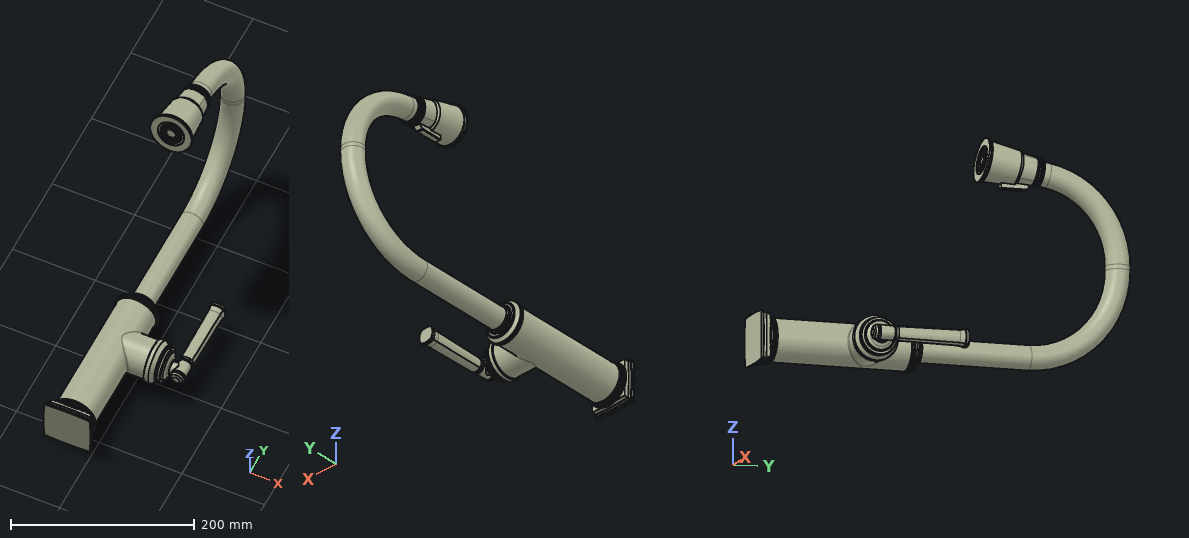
import cadquery as cq
import math


foot_half = 28.4
foot_corner = 27.3
foot_plate = 3.5
foot_chamfer = 1.4
plinth_half = 26.2
plinth_corner = 25.2
plinth_step = 7.0
plinth_inset = 0.6
plinth_top = 12.0
plinth_taper = 6
body_radius = 24.4
body_top = 175.0

spout_radius = 14.0
overall_length = 434.54
bend_start = 316.8
turn_out_radius = overall_length - spout_radius - bend_start
crown_radius = 97.2
column_length = 5.0
head_run = 11.0
head_tilt = 9.1
crown_sweep = 90 - head_tilt

head_length = 65.1
rim_radius = 25.05
neck_start = 5.0
neck_end = 23.0
neck_middle_start = 16.9
neck_corner_start = 12.3
neck_middle_end = 18.1
neck_corner_end = 13.1
cone_start = 25.5
cone_radius_start = 20.2
cone_radius_end = 23.3
rim_start = 60.5

toggle_near = 285.0
toggle_far = 314.0
toggle_bottom = 185.8
toggle_height = 10.0
toggle_width = 9.0
toggle_chamfer = 0.8

valve_y = 125.0
valve_radius = 23.2
pivot_radius = 7.4
valve_fillet = 1.0
lever_cap_half = 10.3
cap_chamfer = 0.6
lever_reach = 89.23
lever_x = lever_reach - lever_cap_half
lever_foot = 111.0
barrel_top = 134.5
lever_blade_start = 139.0
lever_blade_end = 215.5
lever_top = 219.5
barrel_radius = 8.2
blade_flare_start = 209.0
blade_middle_start = 8.0
blade_middle_end = 8.8
flare_middle = 9.6
corner_ratio = 0.79


def revolve_about_y(profile, x=0.0):
    """Turn (radius, y) points about a line parallel to Y at the given x."""
    points = [(x + radius, y) for radius, y in profile]
    return cq.Workplane("XY").polyline(points).close().revolve(360, (x, 0), (x, 1))


def bowed_square(plane, middle, corner):
    """Square with each side bowed outward by an arc."""
    return (
        plane.moveTo(corner, -corner)
        .threePointArc((middle, 0), (corner, corner))
        .threePointArc((0, middle), (-corner, corner))
        .threePointArc((-middle, 0), (-corner, -corner))
        .threePointArc((0, -middle), (corner, -corner))
        .close()
    )


def plane_at_y(y, x=0.0):
    """Workplane facing +Y at the given height along the body."""
    return cq.Workplane(cq.Plane((x, y, 0), (1, 0, 0), (0, 1, 0)))


def make_foot():
    plate = bowed_square(plane_at_y(0), foot_half, foot_corner).extrude(foot_plate)
    plate = plate.faces(">Y").edges().chamfer(foot_chamfer)
    plinth = bowed_square(plane_at_y(foot_plate), plinth_half, plinth_corner)
    plinth = plinth.extrude(plinth_step - foot_plate)
    upper = plane_at_y(plinth_step)
    upper = bowed_square(upper, plinth_half - plinth_inset, plinth_corner - plinth_inset)
    upper = upper.extrude(plinth_top - plinth_step, taper=plinth_taper)
    return plate.union(plinth).union(upper)


def make_body():
    return revolve_about_y([
        (0, foot_plate),
        (24.0, foot_plate),
        (24.0, 11.0),
        (26.0, 11.0),
        (27.0, 12.0),
        (27.0, 14.0),
        (26.0, 15.0),
        (26.8, 16.0),
        (26.8, 17.5),
        (25.5, 18.5),
        (25.5, 20.0),
        (body_radius, 20.5),
        (body_radius, body_top),
        (25.9, body_top + 0.7),
        (25.9, body_top + 2.5),
        (25.3, body_top + 3.0),
        (25.9, body_top + 3.5),
        (25.9, body_top + 5.5),
        (21.5, body_top + 9.5),
        (20.2, body_top + 9.5),
        (20.2, body_top + 11.0),
        (17.2, body_top + 11.0),
        (17.2, body_top + 12.2),
        (16.4, body_top + 12.6),
        (16.9, body_top + 13.0),
        (16.9, body_top + 14.6),
        (15.0, body_top + 15.4),
        (0, body_top + 15.4),
    ])


def make_valve():
    """Side outlet along +X carrying the lever pivot."""
    profile = [
        (0, 0),
        (0, valve_radius),
        (45.0, valve_radius),
        (45.0, 25.2),
        (50.5, 25.2),
        (56.0, 21.2),
        (56.0, 20.6),
        (57.6, 20.6),
        (58.0, 19.6),
        (58.6, 19.6),
        (59.0, 20.6),
        (61.8, 20.6),
        (62.2, 17.5),
        (64.0, 16.2),
        (66.2, 12.5),
        (67.5, 9.0),
        (67.5, pivot_radius),
        (lever_x, pivot_radius),
        (lever_x, 0),
    ]
    points = [(x, valve_y + radius) for x, radius in profile]
    return cq.Workplane("XY").polyline(points).close().revolve(360, (0, valve_y), (1, valve_y))


def bowed_loft(base, height, start, end):
    """Straight-sided loft between two bowed squares, each given as (middle, corner)."""
    lower = bowed_square(base, *start)
    return bowed_square(lower.workplane(offset=height), *end).loft(ruled=True)


def lever_loft(y_start, middle_start, y_end, middle_end):
    """Tapered length of the lever handle."""
    return bowed_loft(
        plane_at_y(y_start, lever_x),
        y_end - y_start,
        (middle_start, middle_start * corner_ratio),
        (middle_end, middle_end * corner_ratio),
    )


def make_lever():
    barrel = revolve_about_y([
        (0, lever_foot),
        (4.5, lever_foot),
        (7.0, lever_foot + 1.5),
        (8.4, lever_foot + 4.0),
        (8.4, lever_foot + 6.0),
        (7.8, lever_foot + 6.6),
        (barrel_radius, lever_foot + 7.2),
        (barrel_radius, barrel_top),
        (7.4, barrel_top + 0.5),
        (7.4, barrel_top + 1.2),
        (barrel_radius, barrel_top + 1.7),
        (barrel_radius, lever_blade_start),
        (0, lever_blade_start),
    ], lever_x)
    blade = lever_loft(lever_blade_start, blade_middle_start, blade_flare_start, blade_middle_end)
    flare = lever_loft(blade_flare_start, blade_middle_end, lever_blade_end, flare_middle)
    cap = bowed_square(plane_at_y(lever_blade_end, lever_x), lever_cap_half, lever_cap_half * corner_ratio)
    cap = cap.extrude(lever_top - lever_blade_end)
    cap = cap.faces("<Y or >Y").edges().chamfer(cap_chamfer)
    return barrel.union(blade).union(flare).union(cap)


def crown_point(degrees):
    """(y, z) on the crown arc, the angle counted from the top of the column."""
    angle = math.radians(degrees)
    centre_y = bend_start + turn_out_radius - crown_radius
    centre_z = turn_out_radius + column_length
    return centre_y + crown_radius * math.cos(angle), centre_z + crown_radius * math.sin(angle)


def spout_end():
    """(y, z) where the spout centreline meets the spray head."""
    y, z = crown_point(crown_sweep)
    tilt = math.radians(head_tilt)
    return y - head_run * math.cos(tilt), z + head_run * math.sin(tilt)


def make_spout():
    """Round tube swept along the gooseneck centreline in the YZ plane."""
    diagonal = math.sqrt(0.5)
    column_y = bend_start + turn_out_radius
    turn_out_middle = (bend_start + turn_out_radius * diagonal, turn_out_radius * (1 - diagonal))
    column_top = turn_out_radius + column_length
    centreline = (
        cq.Workplane("YZ")
        .moveTo(body_top, 0)
        .lineTo(bend_start, 0)
        .threePointArc(turn_out_middle, (column_y, turn_out_radius))
        .lineTo(column_y, column_top)
        .threePointArc(crown_point(crown_sweep / 2), crown_point(crown_sweep))
        .lineTo(*spout_end())
    )
    return plane_at_y(body_top).circle(spout_radius).sweep(centreline)


def head_frame():
    """Frame at the end of the spout: local X is X, local Y is the head axis."""
    tilt = math.radians(head_tilt)
    return cq.Plane((0, *spout_end()), (1, 0, 0), (0, -math.sin(tilt), -math.cos(tilt)))


def revolve_on_head(profile):
    """Turn (radius, distance along the head) points about the head axis."""
    return cq.Workplane(head_frame()).polyline(profile).close().revolve(360, (0, 0), (0, 1))


def make_head():
    coupling = revolve_on_head([
        (0, -3.5),
        (15.5, -3.5),
        (16.8, -2.3),
        (16.8, -0.5),
        (15.8, 0.1),
        (17.0, 0.9),
        (17.0, 2.9),
        (16.0, 3.7),
        (16.0, neck_start),
        (0, neck_start),
    ])
    neck_plane = cq.Workplane(head_frame()).transformed(rotate=(-90, 0, 0), offset=(0, neck_start, 0))
    neck = bowed_loft(
        neck_plane,
        neck_end - neck_start,
        (neck_middle_start, neck_corner_start),
        (neck_middle_end, neck_corner_end),
    )
    cone = revolve_on_head([
        (0, neck_end - 1.0),
        (17.8, neck_end - 1.0),
        (cone_radius_start, cone_start),
        (cone_radius_end, rim_start),
        (24.2, rim_start + 0.5),
        (rim_radius, rim_start + 2.5),
        (rim_radius, head_length),
        (15.8, head_length),
        (15.8, head_length - 1.0),
        (13.0, head_length - 1.0),
        (12.6, head_length),
        (11.6, head_length),
        (11.2, head_length - 1.5),
        (10.0, head_length - 1.5),
        (9.6, head_length),
        (8.6, head_length),
        (8.2, head_length - 2.0),
        (5.8, head_length - 2.0),
        (5.8, head_length - 0.5),
        (0, head_length - 0.5),
    ])
    return coupling.union(neck).union(cone)


def make_toggle():
    lead_in = toggle_far + toggle_height
    toggle_top = toggle_bottom + toggle_height
    side = [
        (toggle_near, toggle_bottom),
        (toggle_far, toggle_bottom),
        (lead_in, toggle_top),
        (toggle_near, toggle_top),
    ]
    toggle = cq.Workplane("YZ").polyline(side).close().extrude(toggle_width / 2, both=True)
    return toggle.faces("<Z").edges().chamfer(toggle_chamfer)


def make_trunk():
    """Body and side valve, with a small fillet where they meet."""
    trunk = make_body().union(make_valve())
    margin = 1.0
    joint = cq.selectors.BoxSelector(
        (0, valve_y - valve_radius - margin, -body_radius - margin),
        (body_radius + margin, valve_y + valve_radius + margin, body_radius + margin),
        boundingbox=True,
    )
    return trunk.edges(joint).fillet(valve_fillet)


result = (
    make_trunk()
    .union(make_foot())
    .union(make_spout())
    .union(make_head())
    .union(make_toggle())
    .union(make_lever())
)